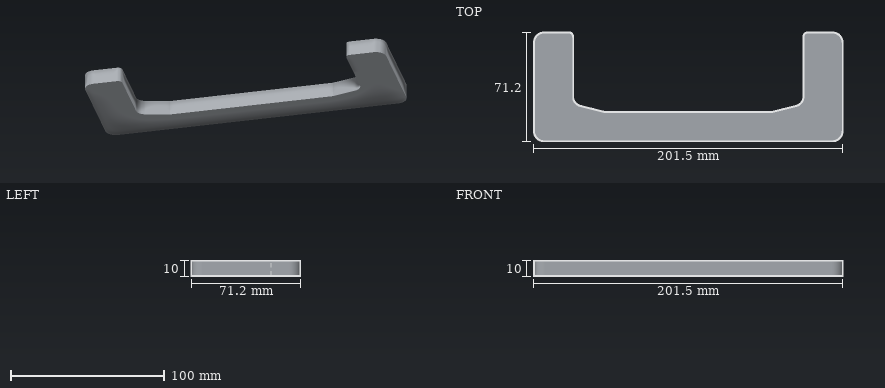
import cadquery as cq
import math

length = 201.5
depth = 71.2
thickness = 10.0

opening_width = 150.0
bar_width = 19.3
bar_flat_length = 109.0
taper_angle = 14.0

outer_radius = 7.0
tip_radius = 3.0
inner_radius = 6.0

half_depth = depth / 2
half_opening = opening_width / 2
half_flat = bar_flat_length / 2
bar_edge_y = -half_depth + bar_width
taper_rise = (half_opening - half_flat) * math.tan(math.radians(taper_angle))
inner_corner_y = bar_edge_y + taper_rise


def make_plate():
    """Rectangular plate with its four outer corners rounded."""
    plate = cq.Workplane("XY").box(length, depth, thickness)
    return plate.edges("|Z").fillet(outer_radius)


def make_opening():
    """Opening between the legs: a flat floor that tapers up to each leg."""
    return (
        cq.Workplane("XY")
        .workplane(offset=-thickness / 2)
        .moveTo(-half_opening, half_depth)
        .lineTo(-half_opening, inner_corner_y)
        .lineTo(-half_flat, bar_edge_y)
        .lineTo(half_flat, bar_edge_y)
        .lineTo(half_opening, inner_corner_y)
        .lineTo(half_opening, half_depth)
        .close()
        .extrude(thickness)
    )


def round_inner_edges(body, y, radius):
    """Round the vertical edges on the inner side of both legs at position y."""
    for x in (-half_opening, half_opening):
        edge = cq.selectors.NearestToPointSelector((x, y, 0))
        body = body.edges(edge).fillet(radius)
    return body


handle = make_plate().cut(make_opening())
handle = round_inner_edges(handle, inner_corner_y, inner_radius)
result = round_inner_edges(handle, half_depth, tip_radius)